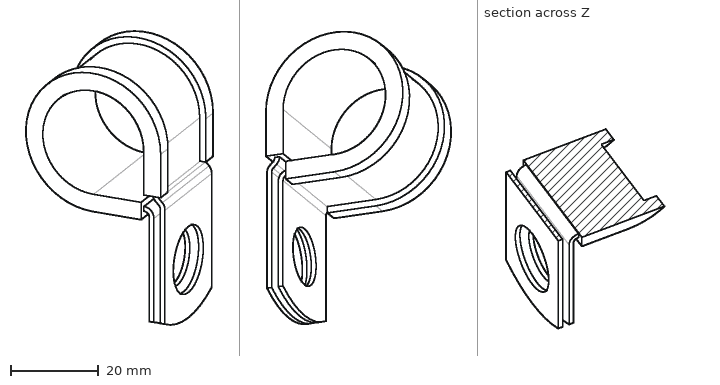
import cadquery as cq
import math

cushion_width = 28.5
cushion_outer_radius = 17.0
cushion_inner_radius = 12.7
flange_width = 4.0
upper_end_drop = 10.75
lower_end_reach = 12.05

strap_width = 25.4
strap_thickness = 1.2
strap_outer_radius = 15.4
strap_inner_radius = strap_outer_radius - strap_thickness
bend_inner_radius = 1.25
bend_outer_radius = bend_inner_radius + strap_thickness
bend_middle_radius = bend_inner_radius + strap_thickness / 2
jog_angle = 45

outer_tab_face = 17.35
inner_tab_face = 14.55
tab_bottom = -45.2
tab_corner_height = -42.3
trim_margin = 0.6
inner_hole_diameter = 13.55
outer_hole_diameter = 16.15
bolt_hole_height = -30.9


def extrude_centred(profile, width):
    """Extrude an XZ profile by the given width, centred on Y = 0."""
    return profile.extrude(width / 2, both=True)


def loop(inner_radius, outer_radius, width):
    """Three-quarter ring with a straight length at each end."""
    outer_mid = -outer_radius * math.sqrt(0.5)
    inner_mid = -inner_radius * math.sqrt(0.5)
    profile = (
        cq.Workplane("XZ")
        .moveTo(outer_radius, -upper_end_drop)
        .lineTo(outer_radius, 0)
        .threePointArc((outer_mid, -outer_mid), (0, -outer_radius))
        .lineTo(lower_end_reach, -outer_radius)
        .lineTo(lower_end_reach, -inner_radius)
        .lineTo(0, -inner_radius)
        .threePointArc((inner_mid, -inner_mid), (inner_radius, 0))
        .lineTo(inner_radius, -upper_end_drop)
        .close()
    )
    return extrude_centred(profile, width)


def make_cushion():
    """Liner inside the strap, with a full-depth flange along each edge."""
    cushion = loop(cushion_inner_radius, strap_inner_radius, cushion_width)
    flange = loop(cushion_inner_radius, cushion_outer_radius, flange_width)
    flange_offset = (cushion_width - flange_width) / 2
    for side in (-1, 1):
        cushion = cushion.union(flange.translate((0, side * flange_offset, 0)))
    return cushion


def make_inner_tab():
    """Tab that turns down from the lower end of the loop."""
    bend_x = inner_tab_face - bend_outer_radius
    bend_z = -strap_outer_radius - bend_inner_radius
    profile = (
        cq.Workplane("XZ")
        .moveTo(lower_end_reach, -strap_inner_radius)
        .lineTo(bend_x, -strap_inner_radius)
        .radiusArc((inner_tab_face, bend_z), bend_outer_radius)
        .lineTo(inner_tab_face, tab_bottom)
        .lineTo(inner_tab_face - strap_thickness, tab_bottom)
        .lineTo(inner_tab_face - strap_thickness, bend_z)
        .radiusArc((bend_x, -strap_outer_radius), -bend_inner_radius)
        .lineTo(lower_end_reach, -strap_outer_radius)
        .close()
    )
    return extrude_centred(profile, strap_width)


def make_outer_tab():
    """Tab that jogs outward below the upper end of the loop."""
    sine = math.sin(math.radians(jog_angle))
    cosine = math.cos(math.radians(jog_angle))
    jog_offset = outer_tab_face - strap_outer_radius
    slope_length = (jog_offset - 2 * bend_middle_radius * (1 - cosine)) / sine
    jog_height = 2 * bend_middle_radius * sine + slope_length * cosine
    jog_bottom = -upper_end_drop - jog_height

    upper_x = strap_outer_radius + bend_inner_radius
    lower_x = outer_tab_face - bend_outer_radius

    def upper_bend_end(radius):
        return (upper_x - radius * cosine, -upper_end_drop - radius * sine)

    def lower_bend_start(radius):
        return (lower_x + radius * cosine, jog_bottom + radius * sine)

    profile = (
        cq.Workplane("XZ")
        .moveTo(strap_outer_radius, -upper_end_drop)
        .radiusArc(upper_bend_end(bend_inner_radius), -bend_inner_radius)
        .lineTo(*lower_bend_start(bend_outer_radius))
        .radiusArc((outer_tab_face, jog_bottom), bend_outer_radius)
        .lineTo(outer_tab_face, tab_bottom)
        .lineTo(outer_tab_face - strap_thickness, tab_bottom)
        .lineTo(outer_tab_face - strap_thickness, jog_bottom)
        .radiusArc(lower_bend_start(bend_inner_radius), -bend_inner_radius)
        .lineTo(*upper_bend_end(bend_outer_radius))
        .radiusArc((strap_inner_radius, -upper_end_drop), bend_outer_radius)
        .close()
    )
    return extrude_centred(profile, strap_width)


def make_tab_trim():
    """Block whose concave top rounds the lower edges of both tabs."""
    half_width = strap_width / 2
    return (
        cq.Workplane("YZ")
        .moveTo(-half_width, tab_corner_height)
        .threePointArc((0, tab_bottom), (half_width, tab_corner_height))
        .lineTo(half_width, tab_bottom - trim_margin)
        .lineTo(-half_width, tab_bottom - trim_margin)
        .close()
        .extrude(outer_tab_face)
    )


def make_bolt_hole(diameter, tab_face):
    """Cutter along X through the tab whose outward face is at the given X."""
    return (
        cq.Workplane("YZ", origin=(tab_face - strap_thickness, 0, bolt_hole_height))
        .circle(diameter / 2)
        .extrude(strap_thickness)
    )


strap = (
    loop(strap_inner_radius, strap_outer_radius, strap_width)
    .union(make_inner_tab())
    .union(make_outer_tab())
    .cut(make_tab_trim())
    .cut(make_bolt_hole(inner_hole_diameter, inner_tab_face))
    .cut(make_bolt_hole(outer_hole_diameter, outer_tab_face))
)
result = make_cushion().union(strap)